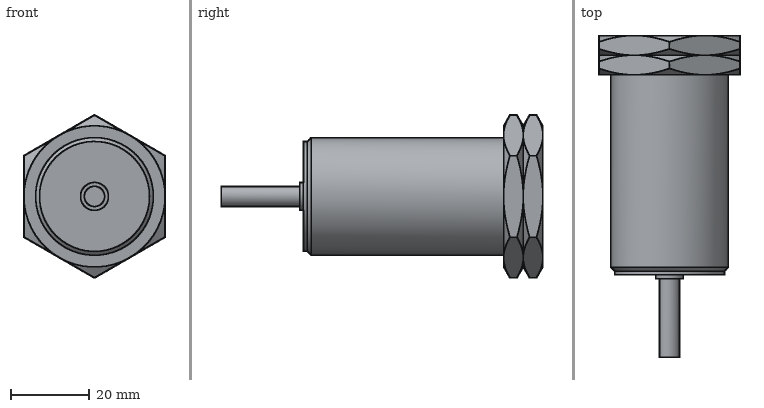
import cadquery as cq
import math

total_length = 82.0

nut_count = 2
nut_across_flats = 36.0
nut_thickness = 5.0
nut_chamfer_angle = 30.0
nut_across_corners = nut_across_flats / math.cos(math.radians(30))

body_diameter = 30.0
body_chamfer = 1.0
end_cap_diameter = 28.05
end_cap_length = 1.0

collar_diameter = 7.1
collar_length = 1.0
cable_diameter = 5.2
cable_length = 20.0

cable_end = -total_length / 2
back_face = total_length / 2
collar_front = cable_end + cable_length
cap_front = collar_front + collar_length
body_front = cap_front + end_cap_length


def cylinder_along_y(diameter, start, end):
    """Solid cylinder on the Y axis between two stations."""
    face = cq.Workplane("XZ", origin=(0, start, 0)).circle(diameter / 2)
    return face.extrude(start - end)


def make_nut(front):
    """Hex nut with corners up and down and conical chamfers on both faces."""
    back = front + nut_thickness
    hexagon = (
        cq.Workplane("XZ", origin=(0, front, 0))
        .transformed(rotate=(0, 0, 90))
        .polygon(6, nut_across_corners)
        .extrude(-nut_thickness)
    )
    face_radius = nut_across_flats / 2
    corner_radius = nut_across_corners / 2
    chamfer_depth = (corner_radius - face_radius) * math.tan(math.radians(nut_chamfer_angle))
    envelope = (
        cq.Workplane("XY")
        .moveTo(0, front)
        .lineTo(face_radius, front)
        .lineTo(corner_radius, front + chamfer_depth)
        .lineTo(corner_radius, back - chamfer_depth)
        .lineTo(face_radius, back)
        .lineTo(0, back)
        .close()
        .revolve(360, (0, 0, 0), (0, 1, 0))
    )
    return hexagon.intersect(envelope)


body = cylinder_along_y(body_diameter, body_front, back_face).faces("<Y").chamfer(body_chamfer)
end_cap = cylinder_along_y(end_cap_diameter, cap_front, back_face)
collar = cylinder_along_y(collar_diameter, collar_front, back_face)
cable = cylinder_along_y(cable_diameter, cable_end, back_face)
result = body.union(end_cap).union(collar).union(cable)

for index in range(nut_count):
    result = result.union(make_nut(back_face - (index + 1) * nut_thickness))